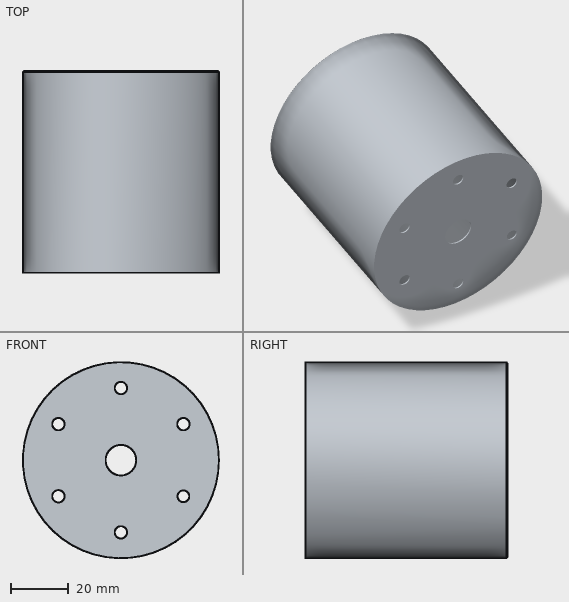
import cadquery as cq
import math

length = 70.0
outer_diameter = 68.0
side_wall = 1.0
end_wall = 0.5
rim_chamfer = 0.5

shaft_hole_diameter = 10.5
screw_hole_diameter = 4.2
small_hole_diameter = 4.0
screw_circle_radius = 25.0
screw_hole_count = 6
small_hole_angle = -30.0

bore_diameter = outer_diameter - 2 * side_wall
screw_hole_pitch = 360 / screw_hole_count


def cylinder_along_y(diameter, start, end, x=0, z=0):
    """Solid cylinder parallel to Y, centred at (x, z), between two Y positions."""
    base = cq.Workplane("XZ", origin=(x, start, z))
    return base.circle(diameter / 2).extrude(start - end)


def cup():
    """Thin round shell with a chamfered outer edge at its open end."""
    body = cylinder_along_y(outer_diameter, 0, length)
    body = body.faces(">Y").chamfer(rim_chamfer)
    return body.cut(cylinder_along_y(bore_diameter, end_wall, length))


def shaft_hole():
    """Central hole through the end wall."""
    return cylinder_along_y(shaft_hole_diameter, 0, end_wall)


def screw_hole(diameter, angle):
    """Hole on the screw circle, at an angle in degrees from +X toward +Z."""
    x = screw_circle_radius * math.cos(math.radians(angle))
    z = screw_circle_radius * math.sin(math.radians(angle))
    return cylinder_along_y(diameter, 0, end_wall, x, z)


result = cup().cut(shaft_hole())

result = result.cut(screw_hole(small_hole_diameter, small_hole_angle))
for index in range(1, screw_hole_count):
    hole_angle = small_hole_angle + index * screw_hole_pitch
    result = result.cut(screw_hole(screw_hole_diameter, hole_angle))